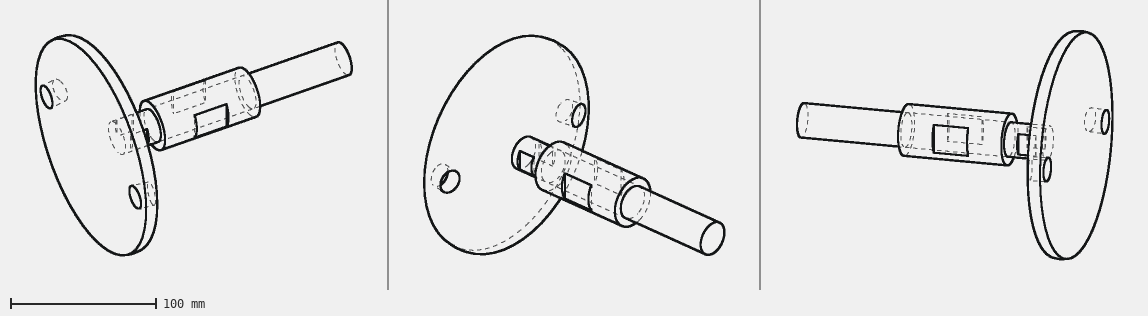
import cadquery as cq
import math


plate_radius = 157.98 / 2
lower_draft_angle = 8.0
upper_draft_angle = 5.0
rim_widest_y = 4.1
shoulder_fillet = 3.0
cone_top_y = 20.6
cone_angle = 9.5
bolt_hole_diameter = 16.5
bolt_hole_offset = 62.8

rod_diameter = 24.0
rod_radius = rod_diameter / 2
rod_end_y = 199.0
rod_flats_width = 19.0
rod_flats_start_y = 26.0
rod_flats_length = 13.0

sleeve_diameter = 36.0
sleeve_start_y = 48.5
sleeve_length = 75.0
sleeve_flats_width = 30.0
sleeve_flats_length = sleeve_length / 3
sleeve_flats_start_y = sleeve_start_y + (sleeve_length - sleeve_flats_length) / 2

cone_lean = math.radians(cone_angle)
upper_draft = math.radians(upper_draft_angle)
lower_draft = math.radians(lower_draft_angle)
cone_y_at_rim = cone_top_y - (plate_radius - rod_radius) * math.tan(cone_lean)
corner_height = (cone_y_at_rim - rim_widest_y) / (1 - math.tan(cone_lean) * math.tan(upper_draft))
corner_radius = plate_radius - corner_height * math.tan(upper_draft)
corner_y = rim_widest_y + corner_height
floor_radius = plate_radius - rim_widest_y * math.tan(lower_draft)

fillet_turn = math.pi / 2 - cone_lean - upper_draft
setback = shoulder_fillet * math.tan(fillet_turn / 2)
fillet_start = (
    corner_radius + setback * math.sin(upper_draft),
    corner_y - setback * math.cos(upper_draft),
)
fillet_end = (
    corner_radius - setback * math.cos(cone_lean),
    corner_y + setback * math.sin(cone_lean),
)


def cylinder_along_y(diameter, start_y, length):
    """Round bar on the Y axis."""
    base = cq.Workplane("XZ", origin=(0, start_y, 0))
    return base.circle(diameter / 2).extrude(-length)


def cut_wrench_flats(bar, diameter, width, start_y, length):
    """Cut two opposite flats, square to X, into a round bar."""
    depth = (diameter - width) / 2
    for side in (-1, 1):
        cutter = cq.Workplane("XY").box(depth, length, diameter)
        cutter = cutter.translate((side * (width + depth) / 2, start_y + length / 2, 0))
        bar = bar.cut(cutter)
    return bar


def cut_bolt_holes(plate):
    """Cut two holes square to the cone face, so they lean outwards away from the floor."""
    for side in (-1, 1):
        direction = cq.Vector(side * math.sin(cone_lean), math.cos(cone_lean), 0)
        centre = cq.Vector(side * bolt_hole_offset, 0, 0)
        start = centre - direction * cone_top_y
        hole = cq.Solid.makeCylinder(bolt_hole_diameter / 2, 2 * cone_top_y, start, direction)
        plate = plate.cut(hole)
    return plate


def make_foot():
    """Conical plate with a drafted rim, a rounded shoulder and the rod standing on it."""
    plate = (
        cq.Workplane("XY")
        .lineTo(floor_radius, 0)
        .lineTo(plate_radius, rim_widest_y)
        .lineTo(*fillet_start)
        .tangentArcPoint(fillet_end, relative=False)
        .lineTo(rod_radius, cone_top_y)
        .lineTo(0, cone_top_y)
        .close()
        .revolve(360, (0, 0, 0), (0, 1, 0))
    )
    plate = cut_bolt_holes(plate)
    rod = cylinder_along_y(rod_diameter, cone_top_y, rod_end_y - cone_top_y)
    rod = cut_wrench_flats(rod, rod_diameter, rod_flats_width, rod_flats_start_y, rod_flats_length)
    return plate.union(rod)


def make_sleeve():
    """Plain-bored sleeve around the rod, with its own wrench flats."""
    sleeve = cylinder_along_y(sleeve_diameter, sleeve_start_y, sleeve_length)
    sleeve = sleeve.cut(cylinder_along_y(rod_diameter, sleeve_start_y, sleeve_length))
    return cut_wrench_flats(
        sleeve, sleeve_diameter, sleeve_flats_width, sleeve_flats_start_y, sleeve_flats_length
    )


foot = make_foot()
sleeve = make_sleeve()

result = cq.Compound.makeCompound([foot.val(), sleeve.val()])